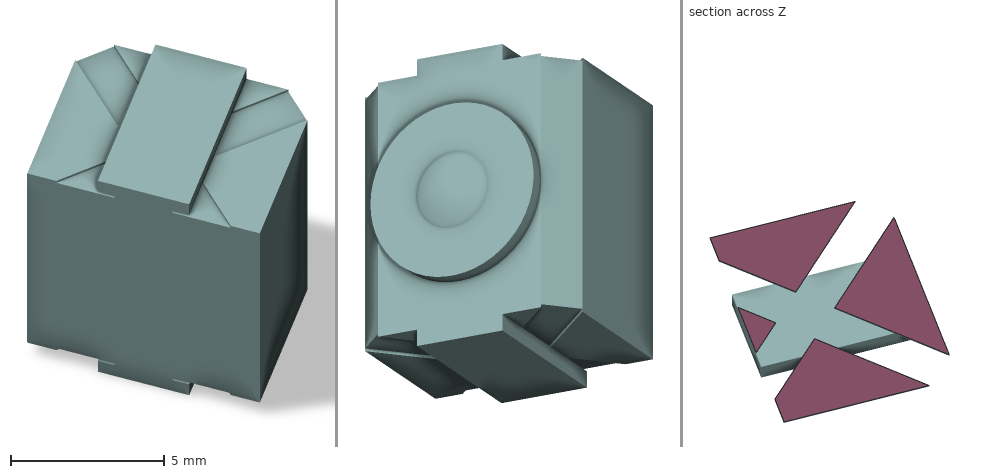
import cadquery as cq

overall_height = 10.0
body_width = 8.0
body_depth = 6.0
overall_depth = 6.94
corner_chamfer = 1.0

rail_width = 3.14
rail_height = 0.57
body_height = overall_height - 2 * rail_height

groove_depth = 0.1
groove_outer_x = body_width / 2 - corner_chamfer
groove_inner_x = 1.0

flange_radius = 3.0
flange_thickness = 0.55
dome_base_radius = 1.32
dome_height = overall_depth - body_depth - flange_thickness


def make_body():
    """Block with its two back vertical corners chamfered; the front face lies at Y = 0."""
    block = cq.Workplane("XY").box(body_width, body_depth, body_height, centered=(True, False, True))
    return block.faces(">Y").edges("|Z").chamfer(corner_chamfer)


def make_rails():
    """Both rails, as the ends of one bar through the whole height."""
    return cq.Workplane("XY").box(rail_width, body_depth, overall_height, centered=(True, False, True))


def make_groove(side, base_z):
    """45 degree groove from one side of the front edge to the opposite back chamfer."""
    return (
        cq.Workplane("XY", origin=(0, 0, base_z))
        .moveTo(side * groove_inner_x, 0)
        .lineTo(side * groove_outer_x, 0)
        .lineTo(side * (groove_outer_x - body_depth), body_depth)
        .lineTo(side * (groove_inner_x - body_depth), body_depth)
        .close()
        .extrude(groove_depth)
    )


def make_lens():
    """Flange and shallow dome, revolved about the Y axis."""
    flange_y = body_depth + flange_thickness
    dome_radius = (dome_base_radius**2 + dome_height**2) / (2 * dome_height)
    mid_radius = dome_base_radius / 2
    mid_y = overall_depth - dome_radius + (dome_radius**2 - mid_radius**2) ** 0.5
    return (
        cq.Workplane("XY")
        .moveTo(0, body_depth)
        .lineTo(flange_radius, body_depth)
        .lineTo(flange_radius, flange_y)
        .lineTo(dome_base_radius, flange_y)
        .threePointArc((mid_radius, mid_y), (0, overall_depth))
        .close()
        .revolve(360, (0, 0, 0), (0, 1, 0))
    )


result = make_body().union(make_rails())
for groove_base in (body_height / 2 - groove_depth, -body_height / 2):
    for groove_side in (-1, 1):
        result = result.cut(make_groove(groove_side, groove_base))
result = result.union(make_lens())